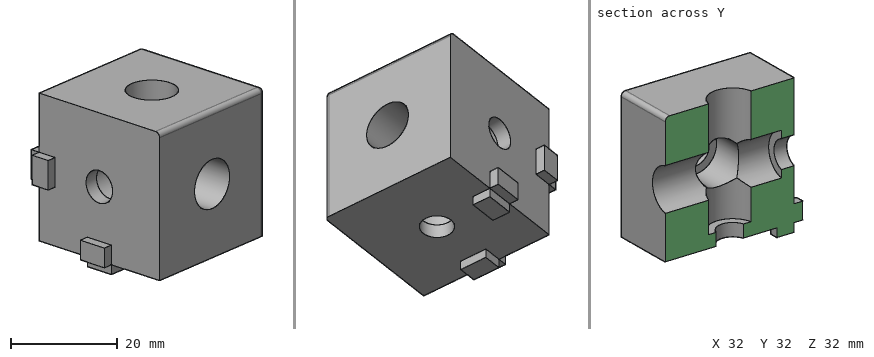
import cadquery as cq

CUBE_SIZE = 30.0
EDGE_RADIUS = 1.0

HOLE_DIAMETER = 6.6
COUNTERBORE_DIAMETER = 10.0
FLOOR_THICKNESS = 3.0
COUNTERBORE_DEPTH = CUBE_SIZE - FLOOR_THICKNESS

TAB_WIDTH = 6.0
TAB_REACH = 4.0
TAB_HEIGHT = 2.0

AXES = (0, 1, 2)
CENTER = CUBE_SIZE / 2


def point_on(axis, along, across):
    """Point with one coordinate on the given axis and both others equal."""
    return cq.Vector(*[along if i == axis else across for i in AXES])


def make_cube():
    """Cube rounded on the three edges that meet at the corner opposite the origin."""
    cube = cq.Workplane("XY").box(CUBE_SIZE, CUBE_SIZE, CUBE_SIZE, centered=False)
    far_edges = cube.faces(">X").edges(">Y or >Z")
    far_edges = far_edges.add(cube.faces(">Y").edges(">Z"))
    return far_edges.fillet(EDGE_RADIUS)


def make_hole(axis):
    """Through hole along one axis, with its counterbore opening on the far face."""
    direction = point_on(axis, 1, 0)
    counterbore_floor = point_on(axis, CUBE_SIZE - COUNTERBORE_DEPTH, CENTER)
    hole = cq.Solid.makeCylinder(HOLE_DIAMETER / 2, CUBE_SIZE, point_on(axis, 0, CENTER), direction)
    counterbore = cq.Solid.makeCylinder(
        COUNTERBORE_DIAMETER / 2, COUNTERBORE_DEPTH, counterbore_floor, direction
    )
    return hole.fuse(counterbore)


def make_tab(face_axis, edge_axis):
    """Tab standing on the face across face_axis, centered along the edge parallel to edge_axis."""
    size = [TAB_REACH] * 3
    corner = [0.0] * 3
    size[face_axis] = TAB_HEIGHT
    corner[face_axis] = -TAB_HEIGHT
    size[edge_axis] = TAB_WIDTH
    corner[edge_axis] = CENTER - TAB_WIDTH / 2
    return cq.Solid.makeBox(*size, pnt=cq.Vector(*corner))


result = make_cube()
for axis in AXES:
    result = result.cut(cq.Workplane(make_hole(axis)))

for face_axis in AXES:
    for edge_axis in AXES:
        if edge_axis != face_axis:
            result = result.union(cq.Workplane(make_tab(face_axis, edge_axis)))